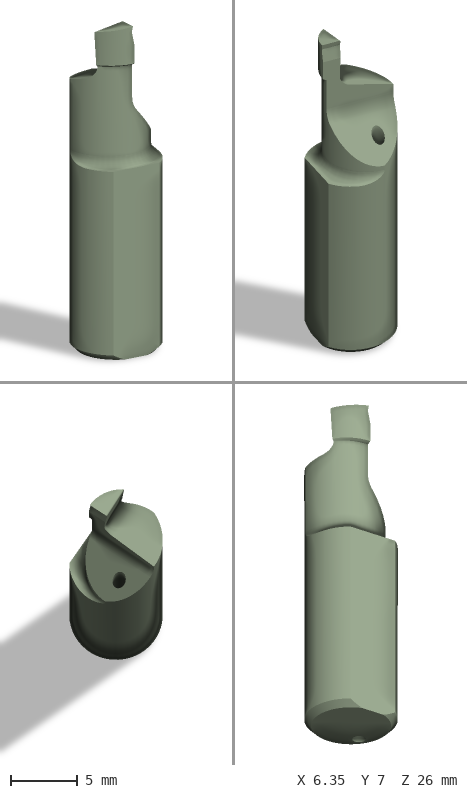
import cadquery as cq
import math

shank_radius = 3.5
flat_x = 2.85
overall_length = 26.0
end_chamfer = 0.5

neck_axis_x = -1.2
neck_radius = 3.28
shoulder_z = 15.0
shoulder_fillet = 0.81

head_axis_x = -0.63
head_radius = 3.0
head_bottom_z = 23.04
head_cone_height = 0.15
top_relief_angle = 8.0
corner_radius = 0.12

clearance_start_z = 20.98
clearance_slope = 15.0
clearance_wall_x = 1.02
clearance_wall_lean = 2.8
clearance_fillet = 1.03
side_relief = 0.05
drop_relief = 0.045

rake_y = 0.12
back_slope = 42.0
back_corner_z = 19.7
back_fillet = 1.6

groove_depth_y = -0.1
groove_lip_z = 25.57
groove_end_z = 24.55

hole_diameter = 1.0
hole_x = -1.44
hole_y = 1.72

margin = 5.0
reach = shank_radius + margin


def make_shank():
    blank = cq.Workplane("XY").circle(shank_radius).extrude(overall_length)
    blank = blank.faces("<Z").chamfer(end_chamfer)
    flat = (
        cq.Workplane("XY")
        .box(margin, 2 * reach, overall_length, centered=(False, True, False))
        .translate((flat_x, 0, 0))
    )
    return blank.cut(flat)


def make_neck_cutter():
    """Ring that turns the neck down and leaves a concave fillet at the shoulder."""
    fillet_center_r = neck_radius + shoulder_fillet
    fillet_center_z = shoulder_z + shoulder_fillet
    diagonal = shoulder_fillet * math.sqrt(0.5)
    return (
        cq.Workplane("XZ")
        .moveTo(neck_radius, overall_length)
        .lineTo(neck_radius, fillet_center_z)
        .threePointArc(
            (fillet_center_r - diagonal, fillet_center_z - diagonal),
            (fillet_center_r, shoulder_z),
        )
        .lineTo(neck_radius + margin, shoulder_z)
        .lineTo(neck_radius + margin, overall_length)
        .close()
        .revolve(360, (0, 0, 0), (0, 1, 0))
        .translate((neck_axis_x, 0, 0))
    )


def make_head():
    """Eccentric cylinder with a short cone running down into the neck."""
    cone = (
        cq.Workplane("XY", origin=(neck_axis_x, 0, head_bottom_z - head_cone_height))
        .circle(neck_radius)
        .workplane(offset=head_cone_height)
        .center(head_axis_x - neck_axis_x, 0)
        .circle(head_radius)
        .loft()
    )
    cylinder = (
        cq.Workplane("XY", origin=(head_axis_x, 0, head_bottom_z))
        .circle(head_radius)
        .extrude(overall_length - head_bottom_z)
    )
    return cylinder.union(cone)


def make_clearance_cutter():
    """Sloped floor, fillet and leaning wall, relieved toward -Y."""
    slope = math.tan(math.radians(clearance_slope))
    lean = math.tan(math.radians(clearance_wall_lean))
    corner_z = clearance_start_z + slope * (clearance_wall_x + shank_radius)
    top_z = overall_length + margin
    profile = [
        (-reach, clearance_start_z - slope * margin),
        (clearance_wall_x, corner_z),
        (clearance_wall_x - lean * (top_z - corner_z), top_z),
        (-reach, top_z),
    ]
    cutter = cq.Workplane("XZ").polyline(profile).close().extrude(2 * reach, both=True)
    corner = cq.selectors.NearestToPointSelector((clearance_wall_x, 0, corner_z))
    cutter = cutter.edges("|Y").edges(corner).fillet(clearance_fillet)
    swing = math.degrees(math.atan(side_relief))
    tilt = math.degrees(math.atan(drop_relief))
    swung = cutter.rotate((0, 0, 0), (0, 0, 1), swing)
    return swung.rotate((0, 0, corner_z), (1, 0, corner_z), tilt)


def make_back_cutter():
    """Removes everything behind the rake face, down to the sloped run-out."""
    run = reach - rake_y
    drop = run / math.tan(math.radians(back_slope))
    profile = [
        (rake_y, overall_length + margin),
        (rake_y, back_corner_z),
        (reach, back_corner_z - drop),
        (reach, overall_length + margin),
    ]
    cutter = cq.Workplane("YZ").polyline(profile).close().extrude(reach, both=True)
    corner = cq.selectors.NearestToPointSelector((0, rake_y, back_corner_z))
    return cutter.edges("|X").edges(corner).fillet(back_fillet)


def make_groove_cutter():
    profile = [
        (0, overall_length),
        (groove_depth_y, groove_lip_z),
        (rake_y, groove_end_z),
        (reach, groove_end_z),
        (reach, overall_length),
    ]
    return cq.Workplane("YZ").polyline(profile).close().extrude(reach, both=True)


def make_top_relief_cutter():
    """Wedge that drops the top face toward -Y from the cutting edge."""
    drop = reach * math.tan(math.radians(top_relief_angle))
    profile = [
        (0, overall_length),
        (-reach, overall_length - drop),
        (-reach, overall_length),
    ]
    return cq.Workplane("YZ").polyline(profile).close().extrude(reach, both=True)


def make_coolant_hole():
    return (
        cq.Workplane("XY", origin=(hole_x, hole_y, 0))
        .circle(hole_diameter / 2)
        .extrude(overall_length)
    )


def round_cutting_corner(body):
    """Rounds the edge where the top face meets the wall facing -X."""
    wall_side = (-shank_radius, -head_radius / 2, overall_length)
    above_top = (neck_axis_x + neck_radius, -head_radius / 2, overall_length)
    top_face = body.faces(cq.selectors.NearestToPointSelector(above_top))
    return top_face.edges(cq.selectors.NearestToPointSelector(wall_side)).fillet(corner_radius)


tool = (
    make_shank()
    .cut(make_neck_cutter())
    .union(make_head())
    .cut(make_back_cutter())
    .cut(make_clearance_cutter())
    .cut(make_groove_cutter())
    .cut(make_top_relief_cutter())
    .cut(make_coolant_hole())
)

result = round_cutting_corner(tool)